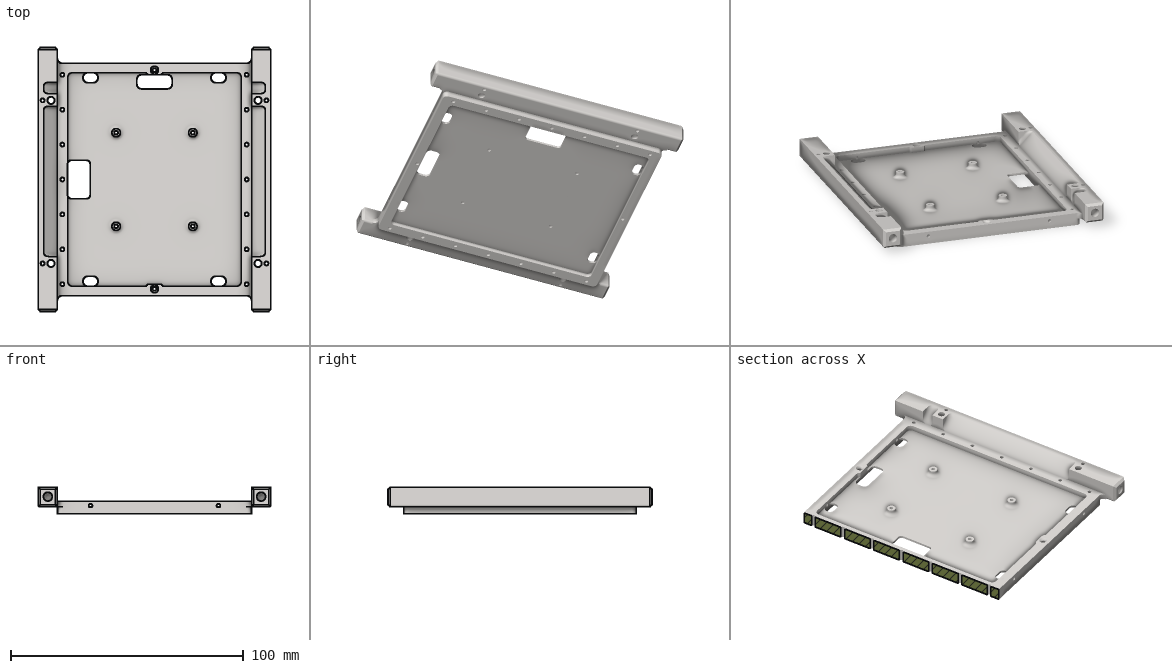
import cadquery as cq
import math

WIDTH = 100.0
LENGTH = 113.5
HEIGHT = 11.5

RAIL_WIDTH = 8.3
RAIL_BOTTOM = 3.0
RAIL_END_CHAMFER = 1.0
RAIL_EDGE_FILLET = 1.0
RAIL_INNER_X = WIDTH / 2 - RAIL_WIDTH
RAIL_CENTRE_X = WIDTH / 2 - RAIL_WIDTH / 2

PLATE_LENGTH = 100.0
PLATE_TOP = 5.5
PLATE_CORNER_RADIUS = 2.0
FLARE_RADIUS = 2.0

POCKET_WIDTH = 74.6
POCKET_LENGTH = 91.7
POCKET_CORNER_RADIUS = 2.0
POCKET_FLOOR = 3.0
FLOOR_THICKNESS = 1.0
PAD_WIDTH = 7.2
PAD_DEPTH = 0.9
PAD_CHAMFER = 0.8
END_SCREW_Y = 47.0
END_SCREW_DIAMETER = 1.6
END_SCREW_SINK_DIAMETER = 3.4

SLOT_LENGTH = 6.3
SLOT_WIDTH = 4.2
SLOT_X = 27.5
SLOT_RADIUS = 1.9
TOP_WINDOW_SIZE = (15.1, 6.0)
TOP_WINDOW_RADIUS = 2.0
TOP_WINDOW_Y = 42.0
SIDE_WINDOW_SIZE = (9.6, 16.4)
SIDE_WINDOW_RADIUS = 1.5

STANDOFF_X = 16.5
STANDOFF_Y = 20.1
STANDOFF_DIAMETER = 3.6
STANDOFF_FILLET = 1.6
STANDOFF_HOLE_DIAMETER = 1.6

BORDER_HOLE_X = 39.6
BORDER_HOLE_PITCH = 15.0
BORDER_HOLE_COUNT = 7
BORDER_HOLE_DIAMETER = 1.6

WALL_HOLE_X = 27.5
WALL_HOLE_Z = 3.5
WALL_HOLE_DIAMETER = 1.5

RAIL_HOLE_YS = (34.0, -36.1)
RAIL_BOLT_X = 44.5
RAIL_BOLT_DIAMETER = 3.0
RAIL_PIN_X = 48.1
RAIL_PIN_DIAMETER = 1.6

AXIAL_HOLE_DIAMETER = 3.8
AXIAL_HOLE_DEPTH = 12.0
AXIAL_HOLE_Z = 7.4
DRILL_TIP_ANGLE = 118.0

RECESS_SPANS = ((-33.1, 31.5), (36.9, 41.8))
RECESS_RIM_X = 47.6
RECESS_FILLET = 1.5

CUT_MARGIN = 1.0


def box(x_range, y_range, z_range):
    """Axis-aligned block given by its limits."""
    sizes = [high - low for low, high in (x_range, y_range, z_range)]
    corner = (x_range[0], y_range[0], z_range[0])
    return cq.Workplane("XY").box(*sizes, centered=False).translate(corner)


def four_corners(x, y):
    """The point (x, y) mirrored into all four quadrants."""
    return [(x_sign * x, y_sign * y) for x_sign in (-1, 1) for y_sign in (-1, 1)]


def vertical_holes(points, diameter):
    """Cylinders that pass through the whole height."""
    return cq.Workplane("XY").pushPoints(points).circle(diameter / 2).extrude(HEIGHT)


def floor_window(centre, size, radius):
    """Rounded block that passes through the pocket floor."""
    window = cq.Workplane("XY").center(*centre).rect(*size).extrude(POCKET_FLOOR)
    return window.edges("|Z").fillet(radius)


def both_sides(shape):
    """A shape on the +X side together with its mirror image."""
    return shape.union(shape.mirror("YZ"))


def make_rail():
    """Rail on the +X side with rounded lower edges and chamfered ends."""
    rail = box(
        (RAIL_INNER_X, WIDTH / 2),
        (-LENGTH / 2, LENGTH / 2),
        (RAIL_BOTTOM, HEIGHT),
    )
    rail = rail.faces("<Y or >Y").chamfer(RAIL_END_CHAMFER)
    return rail.faces("<Z").edges("|Y").fillet(RAIL_EDGE_FILLET)


def make_plate():
    """Plate whose corners are rounded below the rails and flared where it meets them."""
    plate = cq.Workplane("XY").rect(2 * RAIL_INNER_X, PLATE_LENGTH).extrude(PLATE_TOP)
    plate = plate.edges("|Z").fillet(PLATE_CORNER_RADIUS)
    joint_reach = RAIL_INNER_X + RAIL_EDGE_FILLET
    joint = box(
        (-joint_reach, joint_reach),
        (-PLATE_LENGTH / 2, PLATE_LENGTH / 2),
        (RAIL_BOTTOM, PLATE_TOP),
    )
    return plate.union(joint)


def make_flares():
    """Concave fillets in plan between the plate ends and the rails."""
    corner_x = RAIL_INNER_X - FLARE_RADIUS
    corner_y = PLATE_LENGTH / 2 + FLARE_RADIUS
    fillers = box(
        (corner_x, RAIL_INNER_X + RAIL_EDGE_FILLET),
        (PLATE_LENGTH / 2, corner_y),
        (RAIL_BOTTOM, PLATE_TOP),
    ).cut(vertical_holes([(corner_x, corner_y)], 2 * FLARE_RADIUS))
    fillers = both_sides(fillers)
    return fillers.union(fillers.mirror("XZ"))


def make_pocket(z_low, z_high):
    """Rounded pocket volume between two heights."""
    return (
        cq.Workplane("XY", origin=(0, 0, z_low))
        .rect(POCKET_WIDTH, POCKET_LENGTH)
        .extrude(z_high - z_low)
        .edges("|Z")
        .fillet(POCKET_CORNER_RADIUS)
    )


def make_end_pads():
    """Pads that thicken the end walls of the upper pocket beside the screws."""
    half_base = PAD_WIDTH / 2
    end_y = POCKET_LENGTH / 2
    pad = (
        cq.Workplane("XY", origin=(0, 0, POCKET_FLOOR))
        .moveTo(-half_base, end_y)
        .lineTo(-half_base + PAD_CHAMFER, end_y - PAD_DEPTH)
        .lineTo(half_base - PAD_CHAMFER, end_y - PAD_DEPTH)
        .lineTo(half_base, end_y)
        .close()
        .extrude(PLATE_TOP - POCKET_FLOOR)
    )
    return pad.union(pad.mirror("XZ"))


def make_end_screw_hole(y):
    """Through hole with a 90 degree countersink in the rim."""
    hole = vertical_holes([(0, y)], END_SCREW_DIAMETER)
    sink_radius = END_SCREW_SINK_DIAMETER / 2
    sink = cq.Solid.makeCone(
        0, sink_radius, sink_radius, pnt=cq.Vector(0, y, PLATE_TOP - sink_radius)
    )
    return hole.union(cq.Workplane(sink))


def make_floor_windows():
    slot_y = POCKET_LENGTH / 2 - SLOT_WIDTH / 2
    side_window_x = -POCKET_WIDTH / 2 + SIDE_WINDOW_SIZE[0] / 2
    windows = floor_window((0, TOP_WINDOW_Y), TOP_WINDOW_SIZE, TOP_WINDOW_RADIUS)
    windows = windows.union(
        floor_window((side_window_x, 0), SIDE_WINDOW_SIZE, SIDE_WINDOW_RADIUS)
    )
    for centre in four_corners(SLOT_X, slot_y):
        windows = windows.union(
            floor_window(centre, (SLOT_LENGTH, SLOT_WIDTH), SLOT_RADIUS)
        )
    return windows


def make_standoff(x, y):
    """Post level with the rim, with a concave fillet at its foot."""
    radius = STANDOFF_DIAMETER / 2
    foot_radius = radius + STANDOFF_FILLET
    foot_top = POCKET_FLOOR + STANDOFF_FILLET
    floor_bottom = POCKET_FLOOR - FLOOR_THICKNESS
    arc_offset = STANDOFF_FILLET * (1 - math.sqrt(0.5))
    profile = (
        cq.Workplane("XZ")
        .moveTo(0, floor_bottom)
        .lineTo(foot_radius, floor_bottom)
        .lineTo(foot_radius, POCKET_FLOOR)
        .threePointArc((radius + arc_offset, POCKET_FLOOR + arc_offset), (radius, foot_top))
        .lineTo(radius, PLATE_TOP)
        .lineTo(0, PLATE_TOP)
        .close()
    )
    return profile.revolve(360, (0, 0, 0), (0, 1, 0)).translate((x, y, 0))


def make_border_holes():
    half_count = (BORDER_HOLE_COUNT - 1) / 2
    rows = [(i - half_count) * BORDER_HOLE_PITCH for i in range(BORDER_HOLE_COUNT)]
    points = [(x, y) for x in (-BORDER_HOLE_X, BORDER_HOLE_X) for y in rows]
    return vertical_holes(points, BORDER_HOLE_DIAMETER)


def make_wall_holes():
    """Holes through the end walls that open into the corner slots."""
    wall_thickness = (PLATE_LENGTH - POCKET_LENGTH) / 2
    holes = (
        cq.Workplane("XZ", origin=(0, PLATE_LENGTH / 2, WALL_HOLE_Z))
        .pushPoints([(-WALL_HOLE_X, 0), (WALL_HOLE_X, 0)])
        .circle(WALL_HOLE_DIAMETER / 2)
        .extrude(wall_thickness + SLOT_WIDTH / 2)
    )
    return holes.union(holes.mirror("XZ"))


def make_rail_holes():
    bolts = [(side * RAIL_BOLT_X, y) for side in (-1, 1) for y in RAIL_HOLE_YS]
    pins = [(side * RAIL_PIN_X, y) for side in (-1, 1) for y in RAIL_HOLE_YS]
    return vertical_holes(bolts, RAIL_BOLT_DIAMETER).union(
        vertical_holes(pins, RAIL_PIN_DIAMETER)
    )


def make_axial_holes():
    """Blind drilled holes with conical bottoms, one in each rail end."""
    radius = AXIAL_HOLE_DIAMETER / 2
    tip_length = radius / math.tan(math.radians(DRILL_TIP_ANGLE / 2))
    end_y = LENGTH / 2
    bottom_y = end_y - AXIAL_HOLE_DEPTH
    hole = (
        cq.Workplane("YZ")
        .moveTo(end_y, 0)
        .lineTo(end_y, radius)
        .lineTo(bottom_y, radius)
        .lineTo(bottom_y - tip_length, 0)
        .close()
        .revolve(360, (0, 0, 0), (1, 0, 0))
        .translate((RAIL_CENTRE_X, 0, AXIAL_HOLE_Z))
    )
    holes = both_sides(hole)
    return holes.union(holes.mirror("XZ"))


def make_recess(y_low, y_high):
    """Wedge cut into the +X rail, sloping down from its top to the plate surface."""
    slope = (HEIGHT - PLATE_TOP) / (RECESS_RIM_X - RAIL_INNER_X)
    top_z = HEIGHT + CUT_MARGIN
    inner_x = RAIL_INNER_X - CUT_MARGIN
    wedge = (
        cq.Workplane("XZ", origin=(0, y_high, 0))
        .moveTo(inner_x, PLATE_TOP - slope * CUT_MARGIN)
        .lineTo(RECESS_RIM_X + CUT_MARGIN / slope, top_z)
        .lineTo(inner_x, top_z)
        .close()
        .extrude(y_high - y_low)
    )
    wedge = wedge.faces(">(1, 0, -1)").edges("not |Y").fillet(RECESS_FILLET)
    return wedge.intersect(
        box((RAIL_INNER_X, WIDTH / 2), (y_low, y_high), (PLATE_TOP, top_z))
    )


rail = make_rail()
for span in RECESS_SPANS:
    rail = rail.cut(make_recess(*span))

result = both_sides(rail).union(make_plate()).union(make_flares())
result = result.cut(make_pocket(POCKET_FLOOR, PLATE_TOP).cut(make_end_pads()))
result = result.cut(make_pocket(0, POCKET_FLOOR - FLOOR_THICKNESS))
result = result.cut(make_floor_windows())

standoff_points = four_corners(STANDOFF_X, STANDOFF_Y)
for point in standoff_points:
    result = result.union(make_standoff(*point))
result = result.cut(vertical_holes(standoff_points, STANDOFF_HOLE_DIAMETER))

for screw_y in (-END_SCREW_Y, END_SCREW_Y):
    result = result.cut(make_end_screw_hole(screw_y))
result = result.cut(make_border_holes()).cut(make_wall_holes())
result = result.cut(make_rail_holes()).cut(make_axial_holes())